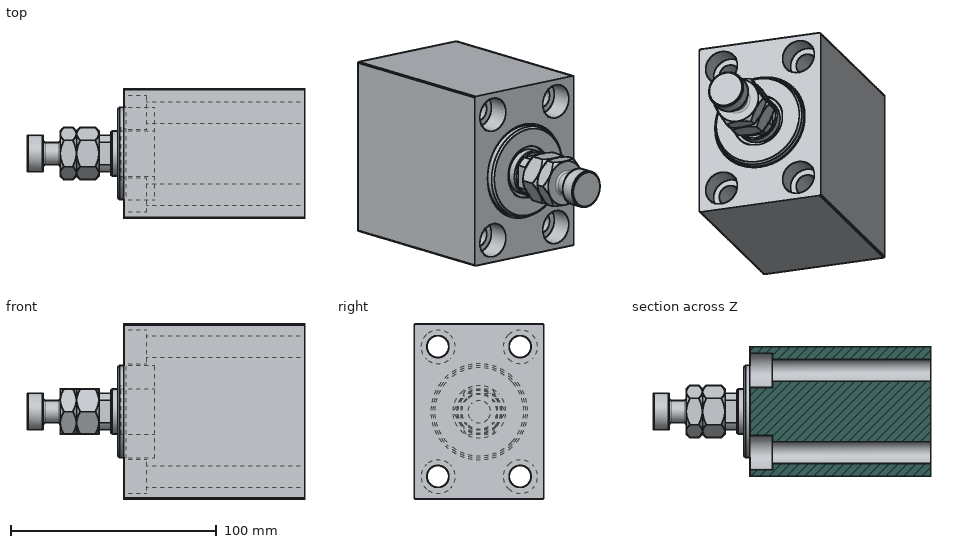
import cadquery as cq
import math


BLOCK_FRONT_X = 47.0
BLOCK_END_X = 135.0
BLOCK_LENGTH = BLOCK_END_X - BLOCK_FRONT_X
BLOCK_WIDTH = 63.0
BLOCK_HEIGHT = 85.0
BLOCK_EDGE_CHAMFER = 0.5

BOLT_SPACING_Y = 40.0
BOLT_SPACING_Z = 63.0
BOLT_HOLE_DIAMETER = 10.5
COUNTERBORE_DIAMETER = 16.5
COUNTERBORE_DEPTH = 11.0

GLAND_DIAMETER = 45.0
GLAND_FRONT_X = 44.0
GLAND_SEAT_DEPTH = 14.8
GLAND_CHAMFER = 1.0
GLAND_END_X = BLOCK_FRONT_X + GLAND_SEAT_DEPTH
BORE_COUNTERSINK = 1.0
SEAL_RECESS_DIAMETER = 25.6
SEAL_RECESS_DEPTH = 1.5

ROD_DIAMETER = 22.0
ROD_CHAMFER = 0.7
WRENCH_SIZE = 18.0
WRENCH_CORNER_DIAMETER = 21.0
WRENCH_END_X = 40.8

HEAD_DIAMETER = 18.0
HEAD_LENGTH = 8.0
HEAD_CHAMFER = 0.5
NECK_DIAMETER = 11.0
NECK_FILLET = 1.0
FRONT_HEX_X = 16.0
REAR_HEX_X = 24.0
COUPLING_END_X = 35.0
HEX_ACROSS_FLATS = 22.0
HEX_ACROSS_CORNERS = HEX_ACROSS_FLATS / math.cos(math.radians(30))
HEX_FACE_DIAMETER = 21.7


def plane_at(x):
    """YZ plane at x; its normal and extrusions run along +X."""
    return cq.Workplane("YZ", origin=(x, 0, 0))


def cylinder(diameter, start_x, end_x):
    return plane_at(start_x).circle(diameter / 2).extrude(end_x - start_x)


def bolt_pattern(diameter, depth):
    """Four cylinders at the mounting hole positions, reaching into the block from its front face."""
    return (
        plane_at(BLOCK_FRONT_X)
        .rect(BOLT_SPACING_Y, BOLT_SPACING_Z, forConstruction=True)
        .vertices()
        .circle(diameter / 2)
        .extrude(depth)
    )


def make_block():
    block = plane_at(BLOCK_FRONT_X).rect(BLOCK_WIDTH, BLOCK_HEIGHT).extrude(BLOCK_LENGTH)
    block = block.edges("|X").chamfer(BLOCK_EDGE_CHAMFER)

    bolt_holes = bolt_pattern(BOLT_HOLE_DIAMETER, BLOCK_LENGTH)
    counterbores = bolt_pattern(COUNTERBORE_DIAMETER, COUNTERBORE_DEPTH)
    gland_bore = cylinder(GLAND_DIAMETER, BLOCK_FRONT_X, GLAND_END_X)
    block = block.cut(bolt_holes).cut(counterbores).cut(gland_bore)

    bore_mouth = cq.selectors.RadiusNthSelector(-1)
    return block.faces("<X").edges("%CIRCLE").edges(bore_mouth).chamfer(BORE_COUNTERSINK)


def make_gland():
    gland = cylinder(GLAND_DIAMETER, GLAND_FRONT_X, GLAND_END_X)
    gland = gland.faces("<X").edges().chamfer(GLAND_CHAMFER)
    rod_bore = cylinder(ROD_DIAMETER, GLAND_FRONT_X, GLAND_END_X)
    seal_recess = cylinder(SEAL_RECESS_DIAMETER, GLAND_FRONT_X, GLAND_FRONT_X + SEAL_RECESS_DEPTH)
    return gland.cut(rod_bore).cut(seal_recess)


def make_piston_rod():
    rod = cylinder(ROD_DIAMETER, WRENCH_END_X, GLAND_END_X)
    rod = rod.faces("<X").edges().chamfer(ROD_CHAMFER)

    wrench_length = WRENCH_END_X - COUPLING_END_X
    square = plane_at(COUPLING_END_X).rect(WRENCH_SIZE, WRENCH_SIZE).extrude(wrench_length)
    wrench_section = square.intersect(cylinder(WRENCH_CORNER_DIAMETER, COUPLING_END_X, WRENCH_END_X))
    return rod.union(wrench_section)


def make_hexagon(start_x, end_x):
    """Hexagon with flats facing up and down, its corners turned off at 45 degrees on both faces."""
    hexagon = plane_at(start_x).polygon(6, HEX_ACROSS_CORNERS).extrude(end_x - start_x)
    corner_chamfer = (HEX_ACROSS_CORNERS - HEX_FACE_DIAMETER) / 2
    turned_blank = cylinder(HEX_ACROSS_CORNERS, start_x, end_x).edges("%CIRCLE").chamfer(corner_chamfer)
    return hexagon.intersect(turned_blank)


def make_coupling():
    head = cylinder(HEAD_DIAMETER, 0, HEAD_LENGTH).edges("%CIRCLE").chamfer(HEAD_CHAMFER)
    neck = cylinder(NECK_DIAMETER, HEAD_LENGTH, FRONT_HEX_X)
    front_hexagon = make_hexagon(FRONT_HEX_X, REAR_HEX_X)
    rear_hexagon = make_hexagon(REAR_HEX_X, COUPLING_END_X)
    coupling = head.union(neck).union(front_hexagon).union(rear_hexagon)

    neck_ends = cq.selectors.RadiusNthSelector(0)
    return coupling.edges("%CIRCLE").edges(neck_ends).fillet(NECK_FILLET)


block = make_block()
gland = make_gland()
piston_rod = make_piston_rod()
coupling = make_coupling()

result = cq.Compound.makeCompound([block.val(), gland.val(), piston_rod.val(), coupling.val()])